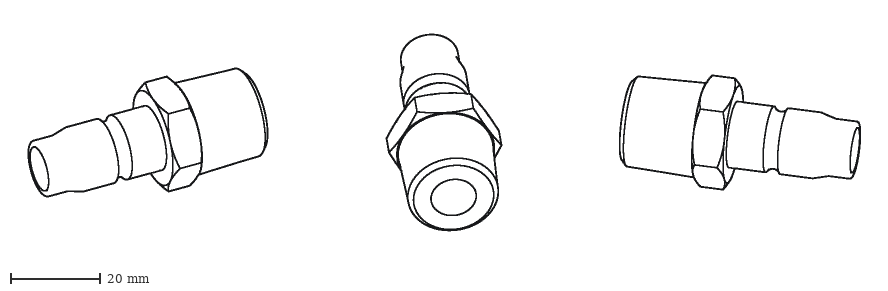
import cadquery as cq
import math


total_length = 52.0
tip_end = 5.15
cone_end = 8.75
groove_start = 16.1
groove_end = 19.45
hex_start = 27.85
hex_end = 35.05
end_chamfer_length = 1.15

bore_radius = 5.1
tip_radius = 6.5
tip_rounding = 0.45
body_radius = 7.5
groove_floor_radius = 6.5
thread_base_radius = 10.7
thread_end_face_radius = 9.05
thread_taper = 1 / 16

hex_across_flats = 22.0
hex_bevel_angle = 30.0


def outer_turning():
    """Solid of revolution for the plug, the neck and the tapered thread."""
    chamfer_start = total_length - end_chamfer_length
    thread_small_radius = thread_base_radius - thread_taper / 2 * (chamfer_start - hex_end)
    rounding_inset = tip_rounding * (1 - math.sqrt(0.5))
    groove_middle = (groove_start + groove_end) / 2
    return (
        cq.Workplane("XY")
        .lineTo(tip_radius - tip_rounding, 0)
        .threePointArc((tip_radius - rounding_inset, rounding_inset), (tip_radius, tip_rounding))
        .lineTo(tip_radius, tip_end)
        .lineTo(body_radius, cone_end)
        .lineTo(body_radius, groove_start)
        .threePointArc((groove_floor_radius, groove_middle), (body_radius, groove_end))
        .lineTo(body_radius, hex_end)
        .lineTo(thread_base_radius, hex_end)
        .lineTo(thread_small_radius, chamfer_start)
        .lineTo(thread_end_face_radius, total_length)
        .lineTo(0, total_length)
        .close()
        .revolve(360, (0, 0), (0, 1))
    )


def bevelled_hexagon():
    """Hexagon with corners on the X axis, its corners turned off at both ends."""
    corner_radius = hex_across_flats / math.sqrt(3)
    face_radius = hex_across_flats / 2
    bevel_length = (corner_radius - face_radius) * math.tan(math.radians(hex_bevel_angle))
    prism = (
        cq.Workplane("XZ", origin=(0, hex_start, 0))
        .polygon(6, 2 * corner_radius)
        .extrude(hex_start - hex_end)
    )
    bevel_envelope = (
        cq.Workplane("XY")
        .moveTo(0, hex_start)
        .lineTo(face_radius, hex_start)
        .lineTo(corner_radius, hex_start + bevel_length)
        .lineTo(corner_radius, hex_end - bevel_length)
        .lineTo(face_radius, hex_end)
        .lineTo(0, hex_end)
        .close()
        .revolve(360, (0, 0), (0, 1))
    )
    return prism.intersect(bevel_envelope)


def through_bore():
    return cq.Workplane("XZ").circle(bore_radius).extrude(-total_length)


result = outer_turning().union(bevelled_hexagon()).cut(through_bore())